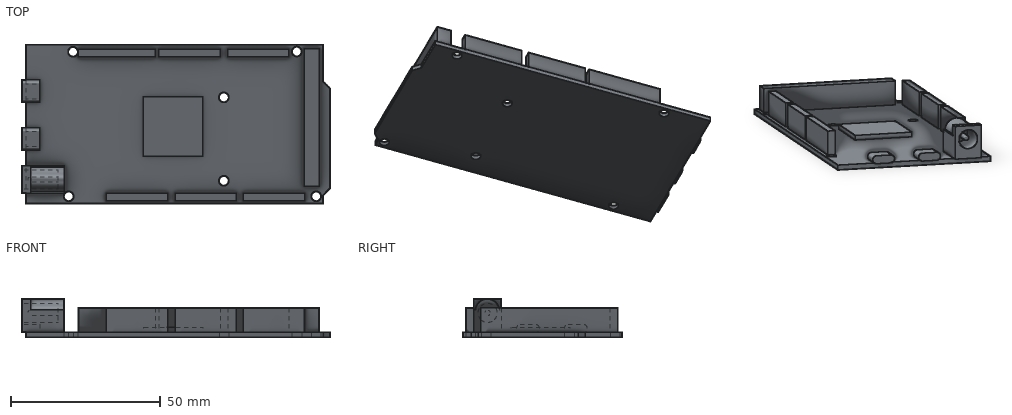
import cadquery as cq

BOARD_WIDTH = 53.21
BOARD_THICKNESS = 1.7
SHOULDER_X = 99.4
BOARD_LENGTH = 101.75
TONGUE_ROOT_Y = (2.7, 40.9)
TONGUE_TIP_Y = (5.15, 38.5)
HOLE_DIAMETER = 3.2
HOLE_CENTRES = [
    (14.3, 2.45),
    (97.1, 2.45),
    (66.2, 7.65),
    (66.2, 35.55),
    (15.75, 50.8),
    (90.6, 50.9),
]

OVERALL_LENGTH = 103.1
OVERHANG = OVERALL_LENGTH - BOARD_LENGTH

HEADER_HEIGHT = 8.15
HEADER_DEPTH = 2.54
SHORT_HEADER = 20.5
LONG_HEADER = 25.7
LOWER_ROW_Y = 1.0
UPPER_ROW_Y = 49.1
LOWER_HEADERS = [(26.9, SHORT_HEADER), (49.9, SHORT_HEADER), (72.7, SHORT_HEADER)]
UPPER_HEADERS = [(17.5, LONG_HEADER), (44.5, SHORT_HEADER), (67.5, SHORT_HEADER)]

END_HEADER_X = 93.1
END_HEADER_Y = 5.9
END_HEADER_DEPTH = 4.95
END_HEADER_LENGTH = 45.9

CHIP_X = 39.3
CHIP_Y = 15.9
CHIP_SIDE = 19.8
CHIP_HEIGHT = 1.6

USB_LENGTH = 6.0
USB_WIDTH = 7.6
USB_HEIGHT = 2.7
USB_EDGE_RADIUS = 1.3
USB_CENTRES_Y = (21.65, 37.65)

JACK_LENGTH = 14.1
JACK_WIDTH = 9.2
JACK_CENTRE_Y = 8.15
OVERALL_HEIGHT = 12.83
JACK_HEIGHT = OVERALL_HEIGHT - BOARD_THICKNESS
JACK_FLANGE = 3.0
JACK_LEDGE_HEIGHT = 7.5
BARREL_RADIUS = 4.0
BORE_RADIUS = 3.2
BORE_AXIS_HEIGHT = 6.55
BORE_DEPTH = 12.0
PIN_RADIUS = 0.9
PIN_TIP_FILLET = 0.6
PIN_RECESS = 2.0


def block_on_board(x, y, length, width, height):
    """Box with its lower left corner at (x, y) on top of the board."""
    box = cq.Workplane("XY").box(length, width, height, centered=False)
    return box.translate((x, y, BOARD_THICKNESS))


def rod_along_x(x, y, height, radius, length):
    """Cylinder from x towards +X, its axis at the given height over the board."""
    rod = cq.Workplane("YZ").circle(radius).extrude(length)
    return rod.translate((x, y, BOARD_THICKNESS + height))


def make_board():
    root_low, root_high = TONGUE_ROOT_Y
    tip_low, tip_high = TONGUE_TIP_Y
    outline = [
        (0, 0),
        (SHOULDER_X, 0),
        (SHOULDER_X, root_low),
        (BOARD_LENGTH, tip_low),
        (BOARD_LENGTH, tip_high),
        (SHOULDER_X, root_high),
        (SHOULDER_X, BOARD_WIDTH),
        (0, BOARD_WIDTH),
    ]
    return cq.Workplane("XY").polyline(outline).close().extrude(BOARD_THICKNESS)


def make_mounting_holes():
    holes = cq.Workplane("XY").pushPoints(HOLE_CENTRES).circle(HOLE_DIAMETER / 2)
    return holes.extrude(BOARD_THICKNESS)


def make_header_row(row_y, headers):
    """One row of headers, each given by its left end and its length."""
    row = cq.Workplane("XY")
    for x, length in headers:
        row = row.add(block_on_board(x, row_y, length, HEADER_DEPTH, HEADER_HEIGHT))
    return row.combine()


def make_end_header():
    return block_on_board(END_HEADER_X, END_HEADER_Y, END_HEADER_DEPTH, END_HEADER_LENGTH, HEADER_HEIGHT)


def make_chip():
    return block_on_board(CHIP_X, CHIP_Y, CHIP_SIDE, CHIP_SIDE, CHIP_HEIGHT)


def make_usb_socket(centre_y):
    socket = block_on_board(-OVERHANG, centre_y - USB_WIDTH / 2, USB_LENGTH, USB_WIDTH, USB_HEIGHT)
    return socket.edges("|X").fillet(USB_EDGE_RADIUS)


def make_power_jack():
    front_x = -OVERHANG
    side_y = JACK_CENTRE_Y - JACK_WIDTH / 2
    flange = block_on_board(front_x, side_y, JACK_FLANGE, JACK_WIDTH, JACK_HEIGHT)
    base = block_on_board(front_x, side_y, JACK_LENGTH, JACK_WIDTH, JACK_LEDGE_HEIGHT)
    barrel_axis = JACK_HEIGHT - BARREL_RADIUS
    barrel = rod_along_x(front_x, JACK_CENTRE_Y, barrel_axis, BARREL_RADIUS, JACK_LENGTH)
    bore = rod_along_x(front_x, JACK_CENTRE_Y, BORE_AXIS_HEIGHT, BORE_RADIUS, BORE_DEPTH)

    tip_x = front_x + PIN_RECESS
    pin_length = JACK_LENGTH - PIN_RECESS
    pin = rod_along_x(tip_x, JACK_CENTRE_Y, BORE_AXIS_HEIGHT, PIN_RADIUS, pin_length)
    pin = pin.faces("<X").edges().fillet(PIN_TIP_FILLET)
    return flange.union(base).union(barrel).cut(bore).union(pin)


result = make_board()
result = result.union(make_header_row(LOWER_ROW_Y, LOWER_HEADERS))
result = result.union(make_header_row(UPPER_ROW_Y, UPPER_HEADERS))
result = result.union(make_end_header())
result = result.union(make_chip())
for usb_y in USB_CENTRES_Y:
    result = result.union(make_usb_socket(usb_y))
result = result.union(make_power_jack())
result = result.cut(make_mounting_holes())